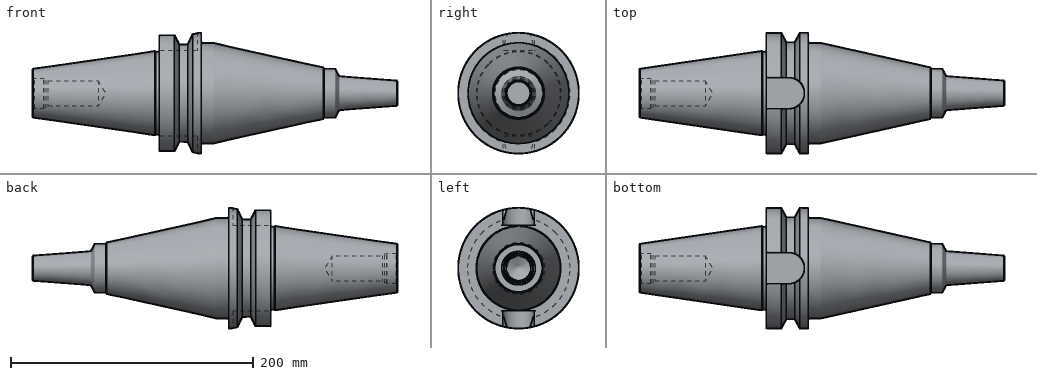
import cadquery as cq
import math


total_length = 301.8

gauge_x = 101.7
gauge_radius = 35.0
taper_per_side = 7 / 48
tail_radius = gauge_radius - gauge_x * taper_per_side
tail_chamfer = 0.5

relief_start = gauge_x - 0.5
relief_slope_length = 1.0
relief_radius = gauge_radius - 0.5
relief_fillet = 0.75

flange_diameter = 100.0
flange_radius = flange_diameter / 2
flange_start = gauge_x + 3.0
flange_end = gauge_x + 38.0
flange_fillet = 1.05
v_groove_radius = 42.3
v_groove_center = gauge_x + 23.2
v_groove_floor_width = 7.0
v_groove_half_angle = 28.0

body_radius = 41.5
body_root_fillet = 0.75
cone_start = 149.7
cone_end = 240.2
cone_end_radius = 21.5

ring_diameter = 40.7
ring_radius = ring_diameter / 2
ring_start = cone_end + 1.0
ring_end = 250.2
ring_face_angle = 28.0
ring_fillet = 1.2

nose_root_radius = 14.2
nose_start = ring_end + (ring_radius - nose_root_radius) * math.tan(math.radians(ring_face_angle))
nose_tip_radius = 10.5
nose_chamfer = 1.0

slot_width = 25.7
slot_floor_z = 35.3
slot_end = gauge_x + 34.7

mouth_radius = 14.0
counterbore_radius = 12.5
counterbore_depth = 9.0
thread_relief_radius = 11.8
thread_relief_length = 1.5
hole_radius = 10.3
hole_depth = 54.3
drill_point_angle = 118.0


def is_at_ring_face(edge):
    """True on the two circles that bound the sloped face between ring and nose."""
    tolerance = 0.03
    return ring_end - tolerance < edge.Center().x < nose_start + tolerance


def turned_body():
    v_depth = flange_radius - v_groove_radius
    v_half_floor = v_groove_floor_width / 2
    v_half_top = v_half_floor + v_depth * math.tan(math.radians(v_groove_half_angle))
    profile = (
        cq.Workplane("XY")
        .lineTo(0, tail_radius - tail_chamfer)
        .lineTo(tail_chamfer, tail_radius + tail_chamfer * taper_per_side)
        .lineTo(relief_start, tail_radius + relief_start * taper_per_side)
        .lineTo(relief_start + relief_slope_length, relief_radius)
        .lineTo(flange_start - relief_fillet, relief_radius)
        .radiusArc((flange_start, relief_radius + relief_fillet), -relief_fillet)
        .lineTo(flange_start, flange_radius)
        .lineTo(v_groove_center - v_half_top, flange_radius)
        .lineTo(v_groove_center - v_half_floor, v_groove_radius)
        .lineTo(v_groove_center + v_half_floor, v_groove_radius)
        .lineTo(v_groove_center + v_half_top, flange_radius)
        .lineTo(flange_end - flange_fillet, flange_radius)
        .radiusArc((flange_end, flange_radius - flange_fillet), flange_fillet)
        .lineTo(flange_end, body_radius + body_root_fillet)
        .radiusArc((flange_end + body_root_fillet, body_radius), -body_root_fillet)
        .lineTo(cone_start, body_radius)
        .lineTo(cone_end, cone_end_radius)
        .lineTo(ring_start, ring_radius)
        .lineTo(ring_end, ring_radius)
        .lineTo(nose_start, nose_root_radius)
        .lineTo(total_length - nose_chamfer, nose_tip_radius)
        .lineTo(total_length, nose_tip_radius - nose_chamfer)
        .lineTo(total_length, 0)
        .close()
    )
    body = profile.revolve(360, (0, 0, 0), (1, 0, 0))
    ring_face_edges = [edge for edge in body.edges("%CIRCLE").vals() if is_at_ring_face(edge)]
    return body.newObject(ring_face_edges).fillet(ring_fillet)


def drive_slot():
    end_radius = slot_width / 2
    arc_center = slot_end - end_radius
    return (
        cq.Workplane("XY", origin=(0, 0, slot_floor_z))
        .moveTo(flange_start, -end_radius)
        .lineTo(arc_center, -end_radius)
        .threePointArc((slot_end, 0), (arc_center, end_radius))
        .lineTo(flange_start, end_radius)
        .close()
        .extrude(flange_radius)
    )


def drawbar_hole():
    mouth_length = mouth_radius - counterbore_radius
    relief_x = counterbore_depth + counterbore_radius - thread_relief_radius
    shoulder_x = relief_x + thread_relief_length
    shoulder_length = thread_relief_radius - hole_radius
    point_length = hole_radius / math.tan(math.radians(drill_point_angle / 2))
    outline = [
        (0, 0),
        (0, mouth_radius),
        (mouth_length, counterbore_radius),
        (counterbore_depth, counterbore_radius),
        (relief_x, thread_relief_radius),
        (shoulder_x, thread_relief_radius),
        (shoulder_x + shoulder_length, hole_radius),
        (hole_depth, hole_radius),
        (hole_depth + point_length, 0),
    ]
    return cq.Workplane("XY").polyline(outline).close().revolve(360, (0, 0, 0), (1, 0, 0))


def is_sharp_flange_edge(edge):
    """True on the rim of the front face, the slot mouths and the front corners of the slot walls."""
    tolerance = 0.03
    center = edge.Center()
    box = edge.BoundingBox()
    ends = [edge.startPoint(), edge.endPoint()]
    on_rim = all(math.hypot(p.y, p.z) > flange_radius - tolerance for p in ends)
    on_front = box.xmax < flange_start + tolerance
    in_slot_width = max(-box.ymin, box.ymax) < slot_width / 2 + tolerance
    in_slot = in_slot_width and abs(center.z) > slot_floor_z + tolerance
    is_wall_corner = on_front and in_slot and abs(center.y) > slot_width / 2 - tolerance
    return is_wall_corner or (on_rim and (on_front or in_slot))


upper_slot = drive_slot()
lower_slot = upper_slot.mirror("XY")
slotted_body = turned_body().cut(upper_slot).cut(lower_slot)

sharp_edges = [edge for edge in slotted_body.edges().vals() if is_sharp_flange_edge(edge)]
rounded_body = slotted_body.newObject(sharp_edges).fillet(flange_fillet)

result = rounded_body.cut(drawbar_hole())